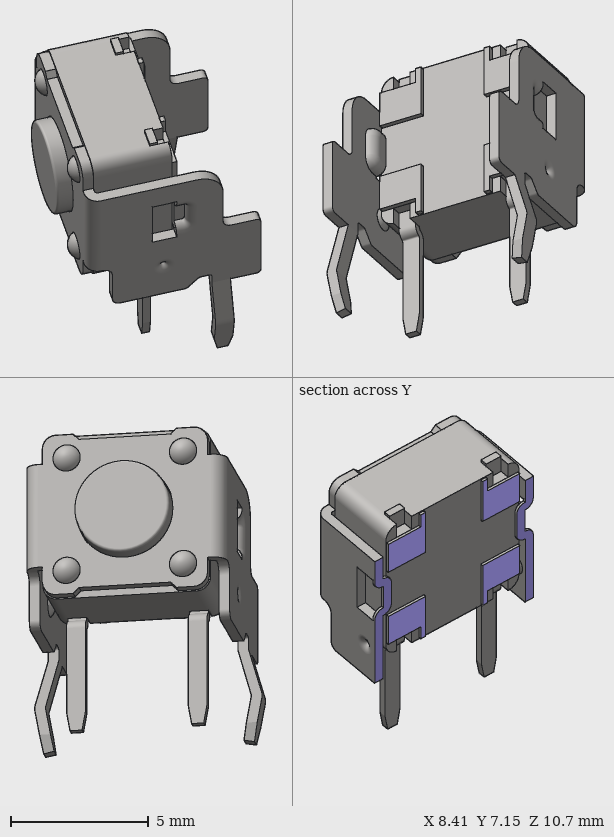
import cadquery as cq
import math


sheet = 0.4
foot_level = -7.49
hook_catch = 3.36

housing_side = 6.2
housing_half = housing_side / 2
housing_corner = 0.52
housing_front = sheet
housing_back = hook_catch

button_diameter = 3.5
button_hole_diameter = 3.55
button_front = -0.6
button_edge_round = 0.1

stake_offset = 2.15
stake_diameter = 1.01
stake_height = 0.31

terminal_x = 2.25
terminal_width = 0.7
terminal_thickness = 0.3
terminal_front = 2.65
terminal_back = terminal_front + terminal_thickness
stub_top = 3.21
slot_depth = 0.63
pin_front = 2.39
jog_start = -3.17
jog_inner_radius = 0.06
pin_taper_start = -6.79
pin_tip_width = 0.45

pad_thickness = 0.19
pad_outer_x = 3.06
pad_step_x = 1.56
pad_inner_x = 1.33
pad_low_z = 1.07
pad_step_z = 2.46
pad_high_z = 3.05

plate_half = 3.05
plate_corner = 0.5
edge_notch_depth = 0.21
edge_notch_half_bottom = 1.69
edge_notch_half_top = edge_notch_half_bottom + edge_notch_depth

wing_outer = 3.7
wing_inner = wing_outer - sheet
bend_inner_radius = 0.11
bend_outer_radius = sheet + bend_inner_radius
wing_top = 1.97
wing_step_y = 5.11
wing_step_z = -0.98
wing_back = 6.55
wing_bottom = -4.0
wing_front_low = 0.93
wing_top_radius = 1.0
wing_corner_radius = 0.2
wing_large_radius = 0.3
relief_radius = 0.4

leg_front = 4.69
leg_back = 5.39
leg_knee_x = 4.22
leg_knee_z = -5.77
leg_foot_x = 3.9
leg_taper_start = -6.8
leg_tip_width = 0.41
leg_notch_top = -3.53
leg_notch_flat_front = 4.2
leg_notch_front = 3.73
leg_notch_radius = 0.1

window_front = 2.44
window_half = 0.98
hook_back = 4.15
hook_half = 0.91
hook_corner = 0.5
hook_depth = sheet
hook_bend_radius = 0.39

dimple_y = 2.89
dimple_z = -2.49
dimple_diameter = 0.8
bump_diameter = 0.85
bump_height = wing_inner - housing_half
dimple_floor_diameter = 0.05
dimple_flare = (dimple_diameter - dimple_floor_diameter) / 2


def block(x_range, y_range, z_range):
    """Box from the two limits on each axis."""
    limits = [sorted(pair) for pair in (x_range, y_range, z_range)]
    low = [pair[0] for pair in limits]
    size = [pair[1] - pair[0] for pair in limits]
    return cq.Workplane("XY").box(*size, centered=False).translate(tuple(low))


def cylinder_y(x, z, diameter, y_start, y_end):
    """Cylinder along Y."""
    disc = cq.Workplane("XZ", origin=(x, y_start, z)).circle(diameter / 2)
    return disc.extrude(y_start - y_end)


def dome(diameter, height, shank):
    """Spherical cap rising from Z = 0 on a cylindrical shank that reaches down to -shank."""
    radius = diameter / 2
    sphere_radius = (radius ** 2 + height ** 2) / (2 * height)
    half_angle = math.asin(radius / sphere_radius) / 2
    arc_middle = (
        sphere_radius * math.sin(half_angle),
        height - sphere_radius * (1 - math.cos(half_angle)),
    )
    return (
        cq.Workplane("XZ")
        .moveTo(0, -shank)
        .lineTo(radius, -shank)
        .lineTo(radius, 0)
        .threePointArc(arc_middle, (0, height))
        .close()
        .revolve(360, (0, 0, 0), (0, 1, 0))
    )


def with_mirror(shape):
    """Shape together with its mirror image about X = 0."""
    return shape.union(shape.mirror("YZ"))


def stake(x, z):
    """Shank through the front plate with a domed head facing forward."""
    upright = dome(stake_diameter, stake_height, housing_front)
    return upright.rotate((0, 0, 0), (1, 0, 0), 90).translate((x, 0, z))


def pin():
    """Left pin: leaves the housing bottom, jogs forward and tapers to its tip."""
    bend_radius = jog_inner_radius + terminal_thickness / 2
    jog = terminal_front - pin_front
    jog_angle = math.acos(1 - jog / (2 * bend_radius))
    jog_end = jog_start - 2 * bend_radius * math.sin(jog_angle)
    jog_middle = (jog_start + jog_end) / 2
    upper_y = terminal_front + terminal_thickness / 2
    lower_y = upper_y - jog
    path = (
        cq.Workplane("YZ", origin=(-terminal_x, 0, 0))
        .moveTo(upper_y, -housing_half)
        .lineTo(upper_y, jog_start)
        .tangentArcPoint((upper_y - jog / 2, jog_middle), relative=False)
        .tangentArcPoint((lower_y, jog_end), relative=False)
        .lineTo(lower_y, foot_level)
    )
    strip = (
        cq.Workplane("XY", origin=(-terminal_x, upper_y, -housing_half))
        .rect(terminal_width, terminal_thickness)
        .sweep(path)
    )
    face = (
        cq.Workplane("XZ", origin=(-terminal_x, 0, 0))
        .polyline([
            (-terminal_width / 2, -housing_half),
            (-terminal_width / 2, pin_taper_start),
            (-pin_tip_width / 2, foot_level),
            (pin_tip_width / 2, foot_level),
            (terminal_width / 2, pin_taper_start),
            (terminal_width / 2, -housing_half),
        ])
        .close()
        .extrude(-housing_back)
    )
    return strip.intersect(face)


def back_pad(side):
    """Left stepped pad on the housing back; side is +1 for the top and -1 for the bottom."""
    y_range = (housing_back, housing_back + pad_thickness)
    low_part = block((-pad_outer_x, -pad_step_x), y_range, (side * pad_low_z, side * pad_step_z))
    high_part = block((-pad_step_x, -pad_inner_x), y_range, (side * pad_low_z, side * pad_high_z))
    return low_part.union(high_part)


def make_switch():
    body = (
        cq.Workplane("XZ", origin=(0, housing_front, 0))
        .rect(housing_side, housing_side)
        .extrude(housing_front - housing_back)
        .edges("|Y")
        .fillet(housing_corner)
    )
    terminal_x_range = (-terminal_x - terminal_width / 2, -terminal_x + terminal_width / 2)
    for side in (1, -1):
        slot_z_range = (side * housing_half, side * (housing_half - slot_depth))
        body = body.cut(with_mirror(block(terminal_x_range, (terminal_back, housing_back), slot_z_range)))
        body = body.union(with_mirror(back_pad(side)))

    stub = block(
        terminal_x_range,
        (terminal_front, terminal_back),
        (housing_half - slot_depth, stub_top),
    )
    body = body.union(with_mirror(stub)).union(with_mirror(pin()))

    button = (
        cylinder_y(0, 0, button_diameter, button_front, housing_front)
        .faces("<Y")
        .edges()
        .fillet(button_edge_round)
    )
    body = body.union(button)
    for z in (stake_offset, -stake_offset):
        body = body.union(with_mirror(stake(-stake_offset, z)))
    return body


def front_plate():
    """Flat plate with rounded corners and a shallow notch in its top and bottom edges."""
    plate = (
        cq.Workplane("XZ")
        .rect(2 * plate_half, 2 * plate_half)
        .extrude(-sheet)
        .edges("|Y")
        .fillet(plate_corner)
    )
    notch = (
        cq.Workplane("XZ")
        .polyline([
            (-edge_notch_half_top, plate_half),
            (-edge_notch_half_bottom, plate_half - edge_notch_depth),
            (edge_notch_half_bottom, plate_half - edge_notch_depth),
            (edge_notch_half_top, plate_half),
        ])
        .close()
        .extrude(-sheet)
    )
    return plate.cut(notch).cut(notch.mirror("XY"))


def bends():
    """Band across the plate that turns back at both ends and runs a little way into the wings."""
    arm_end = 2 * bend_outer_radius
    z_range = (-wing_top, wing_top)
    outside = block((-wing_outer, wing_outer), (0, arm_end), z_range)
    inside = block((-wing_inner, wing_inner), (sheet, arm_end), z_range)
    outside = outside.edges("|Z and <Y").fillet(bend_outer_radius)
    inside = inside.edges("|Z and <Y").fillet(bend_inner_radius)
    return outside.cut(inside)


def wing_blank():
    """Left wing plate without openings."""
    blank = (
        cq.Workplane("YZ", origin=(-wing_outer, 0, 0))
        .polyline([
            (bend_outer_radius, wing_top),
            (wing_step_y, wing_top),
            (wing_step_y, wing_step_z),
            (wing_back, wing_step_z),
            (wing_back, wing_bottom),
            (leg_front, wing_bottom),
            (leg_front, leg_notch_top),
            (leg_notch_flat_front, leg_notch_top),
            (leg_notch_front, wing_bottom),
            (wing_front_low, wing_bottom),
            (wing_front_low, -wing_top),
            (bend_outer_radius, -wing_top),
        ])
        .close()
        .extrude(sheet)
    )
    rounded_corners = [
        (wing_step_y, wing_top, wing_top_radius),
        (wing_step_y, wing_step_z, wing_large_radius),
        (wing_back, wing_step_z, wing_corner_radius),
        (wing_back, wing_bottom, wing_corner_radius),
        (leg_front, leg_notch_top, leg_notch_radius),
        (leg_notch_flat_front, leg_notch_top, wing_corner_radius),
        (leg_notch_front, wing_bottom, wing_corner_radius),
        (wing_front_low, wing_bottom, wing_large_radius),
        (wing_front_low, -wing_top, relief_radius),
    ]
    middle_x = -wing_outer + sheet / 2
    for y, z, radius in rounded_corners:
        corner = cq.selectors.NearestToPointSelector((middle_x, y, z))
        blank = blank.edges("|X").edges(corner).fillet(radius)
    return blank


def hook_block(x_start, depth, inset, corner):
    """Hook footprint shrunk by inset, with its two rear corners rounded."""
    half = hook_half - inset
    return (
        block((x_start, x_start + depth), (window_front, hook_back - inset), (-half, half))
        .edges("|X and >Y")
        .fillet(corner)
    )


def add_hook(wing):
    """Press the hook inward behind the window and cut the window."""
    shell = hook_block(-wing_inner, hook_depth, 0, hook_corner)
    shell = shell.faces(">X").edges("not <Y").fillet(hook_bend_radius)
    hollow = hook_block(-wing_outer, hook_depth, sheet, hook_corner - sheet)
    wing = wing.union(shell).cut(hollow)

    rim_margin = sheet / 10
    rim = cq.selectors.BoxSelector(
        (-wing_outer - rim_margin, window_front - rim_margin, -hook_half),
        (-wing_outer + rim_margin, hook_back, hook_half),
        boundingbox=True,
    )
    front_edge = cq.selectors.NearestToPointSelector((-wing_outer, window_front, 0))
    wing = wing.edges(rim - front_edge).fillet(hook_bend_radius)

    window = block(
        (-wing_outer, -wing_inner + hook_depth),
        (window_front, hook_catch),
        (-window_half, window_half),
    )
    return wing.cut(window)


def flared_prick():
    """Tool for the outer dent: a trumpet from a wide mouth at Z = 0 up to a tiny flat floor."""
    floor_radius = dimple_floor_diameter / 2
    mouth_radius = dimple_diameter / 2
    arc_middle = (
        mouth_radius - dimple_flare * math.sin(math.pi / 4),
        dimple_flare * (1 - math.cos(math.pi / 4)),
    )
    return (
        cq.Workplane("XZ")
        .lineTo(mouth_radius, 0)
        .threePointArc(arc_middle, (floor_radius, dimple_flare))
        .lineTo(0, dimple_flare)
        .close()
        .revolve(360, (0, 0, 0), (0, 1, 0))
    )


def add_dimple(wing):
    """Flared prick outside and round bump inside, the bump just reaching the housing."""
    centre = (dimple_y, dimple_z)
    bump = dome(bump_diameter, bump_height, sheet / 2).rotate((0, 0, 0), (0, 1, 0), 90)
    dent = flared_prick().rotate((0, 0, 0), (0, 1, 0), 90)
    wing = wing.union(bump.translate((-wing_inner, *centre)))
    return wing.cut(dent.translate((-wing_outer, *centre)))


def leg():
    """Left leg: kinked outward and back, with a tapered foot cut square to its length."""
    lower_angle = math.atan2(leg_knee_x - leg_foot_x, leg_knee_z - foot_level)
    foot_inner = (
        -leg_foot_x + sheet * math.cos(lower_angle),
        foot_level + sheet * math.sin(lower_angle),
    )
    upper_angle = math.atan2(leg_knee_x - wing_outer, wing_bottom - leg_knee_z)
    knee_inner_x = -leg_knee_x + sheet / math.cos(upper_angle)
    kink = (
        cq.Workplane("XZ", origin=(0, leg_front, 0))
        .polyline([
            (-wing_outer, wing_bottom),
            (-leg_knee_x, leg_knee_z),
            (-leg_foot_x, foot_level),
            foot_inner,
            (knee_inner_x, leg_knee_z),
            (-wing_inner, wing_bottom),
        ])
        .close()
        .extrude(leg_front - leg_back)
    )
    knee_y = (leg_front + leg_back) / 2
    for knee_x, radius in ((-leg_knee_x, bend_outer_radius), (knee_inner_x, bend_inner_radius)):
        knee = cq.selectors.NearestToPointSelector((knee_x, knee_y, leg_knee_z))
        kink = kink.edges("|Y").edges(knee).fillet(radius)
    tip_inset = (leg_back - leg_front - leg_tip_width) / 2
    width_outline = (
        cq.Workplane("YZ", origin=(-leg_knee_x, 0, 0))
        .polyline([
            (leg_front, wing_bottom),
            (leg_front, leg_taper_start),
            (leg_front + tip_inset, foot_level),
            (leg_back - tip_inset, foot_level),
            (leg_back, leg_taper_start),
            (leg_back, wing_bottom),
        ])
        .close()
        .extrude(2 * sheet + leg_knee_x - wing_outer)
    )
    return kink.intersect(width_outline)


def make_bracket():
    plate = front_plate().union(bends())
    plate = plate.cut(cylinder_y(0, 0, button_hole_diameter, 0, sheet))
    for x in (stake_offset, -stake_offset):
        for z in (stake_offset, -stake_offset):
            plate = plate.cut(cylinder_y(x, z, stake_diameter, 0, sheet))
    wing = add_dimple(add_hook(wing_blank())).union(leg())
    return plate.union(with_mirror(wing))


switch = make_switch()
bracket = make_bracket()
result = cq.Compound.makeCompound([switch.solids().val(), bracket.solids().val()])